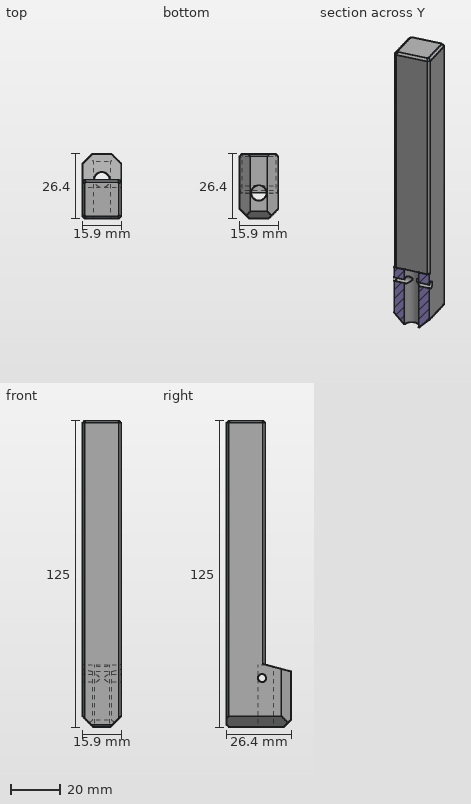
import cadquery as cq
import math

shank_side = 15.88
height = 125.0
edge_chamfer = 1.0

foot_depth = 26.38
foot_slope = 15.0
foot_back_height = 22.7
foot_back_chamfer = 3.0
foot_side_chamfer = 4.0

bottom_side_chamfer = 4.5

bore_diameter = 6.2
bore_y = shank_side

pin_diameter = 3.2
pin_y = 14.5
pin_z = 20.0

half_side = shank_side / 2


def foot_height_at(y):
    """Height of the sloping foot top at distance y behind the front face."""
    return foot_back_height + (foot_depth - y) * math.tan(math.radians(foot_slope))


def make_shank():
    """Square bar with every long edge and the top rim chamfered."""
    bar = cq.Workplane("XY").box(shank_side, shank_side, height, centered=(True, False, False))
    return bar.edges("|Z").chamfer(edge_chamfer).faces(">Z").chamfer(edge_chamfer)


def make_foot():
    """Full-width block with a sloping top and chamfered front and back corners."""
    profile = [
        (0, 0),
        (foot_depth, 0),
        (foot_depth, foot_back_height),
        (0, foot_height_at(0)),
    ]
    block = cq.Workplane("YZ").polyline(profile).close().extrude(half_side, both=True)
    block = block.edges("|Z and <Y").chamfer(edge_chamfer)
    return block.edges("|Z and >Y").chamfer(foot_side_chamfer)


def chamfer_bottom(blank):
    """Bevel the side, front and back edges of the bottom face."""
    side_profile = [
        (edge_chamfer, 0),
        (foot_depth - foot_back_chamfer, 0),
        (foot_depth, foot_back_chamfer),
        (foot_depth, height),
        (0, height),
        (0, edge_chamfer),
    ]
    front_profile = [
        (-half_side + bottom_side_chamfer, 0),
        (half_side - bottom_side_chamfer, 0),
        (half_side, bottom_side_chamfer),
        (half_side, height),
        (-half_side, height),
        (-half_side, bottom_side_chamfer),
    ]
    side_limit = cq.Workplane("YZ").polyline(side_profile).close().extrude(half_side, both=True)
    front_limit = cq.Workplane("XZ").polyline(front_profile).close().extrude(-foot_depth)
    return blank.intersect(side_limit).intersect(front_limit)


def make_bore():
    """Vertical bore ending level with the top of the foot at the shank."""
    return cq.Workplane("XY").center(0, bore_y).circle(bore_diameter / 2).extrude(foot_height_at(shank_side))


def make_pin_hole():
    """Cross hole through the full width."""
    return cq.Workplane("YZ").center(pin_y, pin_z).circle(pin_diameter / 2).extrude(half_side, both=True)


body = make_shank().union(make_foot())
result = chamfer_bottom(body).cut(make_bore()).cut(make_pin_hole())